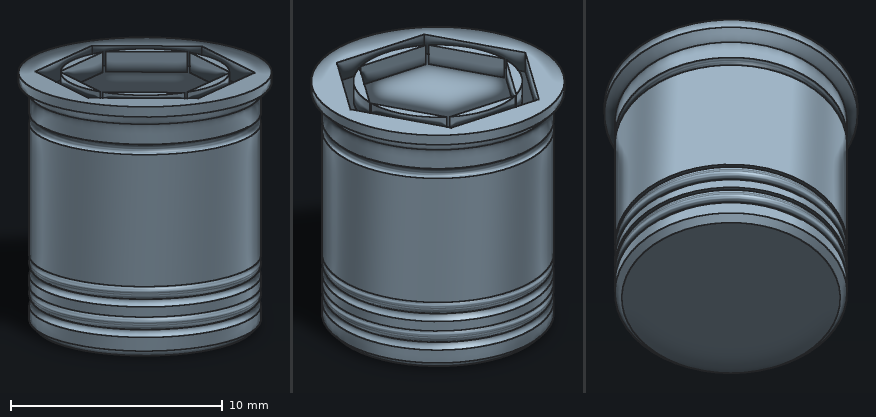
import cadquery as cq
import math

height = 12.5
body_radius = 5.5
bottom_chamfer = 0.32

flange_radius = 6.0
flange_rim = 0.5
flange_cone = flange_radius - body_radius

neck_groove_radius = 0.25
neck_groove_z = 10.25

recess_depth = 1.0
recess_flats = 9.0
collar_diameter = 8.0
collar_flats = 7.0

ring_edge_radius = 0.3
ring_flat = 0.1
ring_height = 2 * ring_edge_radius + ring_flat
ring_inner_radius = body_radius - ring_height
ring_base_levels = [1.3, 2.8]
groove_chamfer = ring_edge_radius


def hexagon_prism(across_flats, base_z, prism_height):
    """Upright hexagonal prism with two corners on the Y axis."""
    corner_diameter = across_flats / math.cos(math.pi / 6)
    return (
        cq.Workplane("XY", origin=(0, 0, base_z))
        .transformed(rotate=(0, 0, 90))
        .polygon(6, corner_diameter)
        .extrude(prism_height)
    )


def revolve_profile(profile):
    """Revolve a closed radius-height profile around the Z axis."""
    return profile.close().revolve(360, (0, 0, 0), (0, 1, 0))


def make_blank():
    """Turned outer shape: chamfered cylinder with the head flange."""
    cone_top = height - flange_rim
    return revolve_profile(
        cq.Workplane("XZ")
        .lineTo(body_radius - bottom_chamfer, 0)
        .lineTo(body_radius, bottom_chamfer)
        .lineTo(body_radius, cone_top - flange_cone)
        .lineTo(flange_radius, cone_top)
        .lineTo(flange_radius, height)
        .lineTo(0, height)
    )


def make_neck_groove():
    """Torus that cuts the half-round groove."""
    return cq.Workplane("XZ").center(body_radius, neck_groove_z).circle(neck_groove_radius).revolve(
        360, (-body_radius, 0, 0), (-body_radius, 1, 0)
    )


def make_ring_groove(base_z):
    """Square ring seat whose lower lip is chamfered at 45 degrees."""
    return revolve_profile(
        cq.Workplane("XZ")
        .moveTo(ring_inner_radius, base_z)
        .lineTo(body_radius - groove_chamfer, base_z)
        .lineTo(body_radius, base_z - groove_chamfer)
        .lineTo(body_radius, base_z + ring_height)
        .lineTo(ring_inner_radius, base_z + ring_height)
    )


def make_drive_recess():
    """Hexagonal pocket volume, less the collar that stays on its floor."""
    floor_z = height - recess_depth
    collar = (
        cq.Workplane("XY", origin=(0, 0, floor_z))
        .circle(collar_diameter / 2)
        .extrude(recess_depth)
        .cut(hexagon_prism(collar_flats, floor_z, recess_depth))
    )
    return hexagon_prism(recess_flats, floor_z, recess_depth).cut(collar)


def make_plug():
    plug = make_blank().cut(make_neck_groove()).cut(make_drive_recess())
    for base_z in ring_base_levels:
        plug = plug.cut(make_ring_groove(base_z))
    return plug


def make_sealing_ring(base_z):
    """Ring flush with the body, both outer edges rounded."""
    ring = (
        cq.Workplane("XY", origin=(0, 0, base_z))
        .circle(body_radius)
        .extrude(ring_height)
        .edges("%CIRCLE")
        .fillet(ring_edge_radius)
    )
    bore = cq.Workplane("XY", origin=(0, 0, base_z)).circle(ring_inner_radius).extrude(ring_height)
    return ring.cut(bore)


plug = make_plug()
sealing_rings = [make_sealing_ring(base_z) for base_z in ring_base_levels]

result = cq.Compound.makeCompound([plug.val(), *[ring.val() for ring in sealing_rings]])